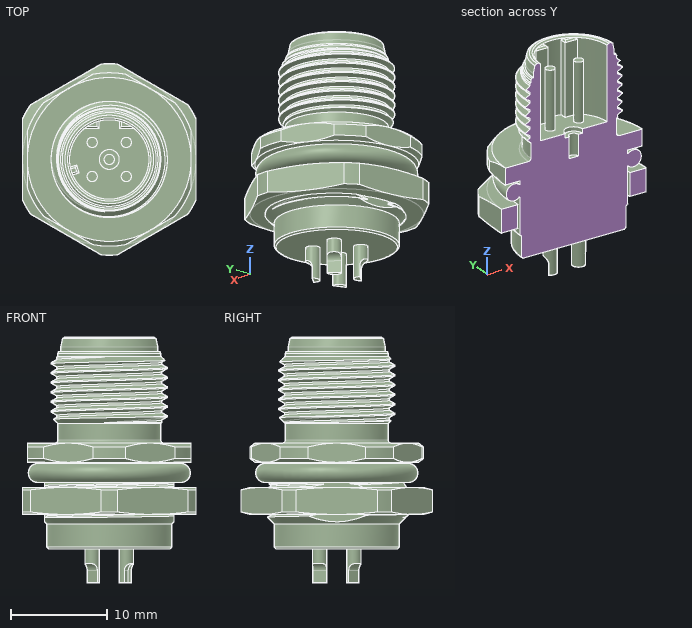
import cadquery as cq
import math

tip_z = 0.0
body_bottom_z = 3.5
rear_thread_bottom_z = 6.1
nut_bottom_z = 7.1
nut_height = 2.8
oring_z = 11.4
flange_bottom_z = 12.5
flange_height = 2.0
front_thread_bottom_z = 16.53
front_thread_top_z = 23.5
shoulder_z = 24.0
spigot_taper_z = 24.47
top_z = 25.5
flange_top_z = flange_bottom_z + flange_height
joint_overlap = 1.0

rear_radius = 6.5
rear_edge_chamfer = 0.2
groove_radius = 6.7
neck_radius = 5.36
neck_fillet = 0.3
spigot_radius = 5.05
spigot_tip_radius = 4.87
spigot_edge_height = 0.17
spigot_edge_inset = 0.27
shoulder_edge_height = 0.2
shoulder_edge_inset = 0.1

pitch = 1.0
crest_width = 0.12
root_overlap = 0.1
core_overrun = 3 * pitch
flank_slope = math.tan(math.radians(30))
front_major_radius = 6.03
front_root_radius = 5.45
front_crest_z = 0.28
rear_major_radius = 7.5
rear_root_radius = 6.87
rear_crest_z = 0.83
rear_flat_offset = 6.73
rear_runout_height = 0.7
rear_lead_slope = math.tan(math.radians(30))
rear_thread_top_z = 10.85

flange_across_flats = 17.0
flange_corner_radius = 9.0
flange_chamfer_height = 0.4
nut_across_flats = 18.0
nut_corner_radius = 9.945
nut_chamfer_height = 0.25
nut_bore_radius = 6.95
oring_section_radius = 1.0
oring_center_radius = 7.42
oring_embed = 0.1

socket_radius = 4.12
socket_chamfer = 0.2
socket_floor_z = 16.5
key_chamfer = 0.2
key_gap = 2.1
key_inner_y = 3.22
coding_key_width = 0.85
coding_key_inner_radius = 3.4
coding_key_angle = 197
wall_overlap = 0.3
pin_circle_radius = 2.5
pin_radius = 0.53
pin_top_z = 23.5
tail_radius = 0.75
cup_height = 2.02
cup_fillet = 0.75
center_hole_depth = 3.0
center_recess_radius = 1.03
center_recess_depth = 0.5
contacts = [(45, 45), (135, 135), (225, 225), (315, 345)]


def cylinder(radius, bottom, top):
    return cq.Workplane("XY").workplane(offset=bottom).circle(radius).extrude(top - bottom)


def revolve_profile(points):
    """Turn a closed (radius, z) outline about the Z axis."""
    return cq.Workplane("XZ").polyline(points).close().revolve(360, (0, 0), (0, 1))


def helical_ridge(root_radius, major_radius, crest_z, bottom, top):
    """V-shaped ridge wound at least from bottom to top; a crest passes +X at crest_z plus whole pitches."""
    inner = root_radius - root_overlap
    half_base = crest_width / 2 + (major_radius - inner) * flank_slope
    start = math.floor(bottom) - pitch + crest_z
    turns = math.ceil((top - start) / pitch) + 1
    path = cq.Wire.makeHelix(pitch, turns * pitch, inner, cq.Vector(0, 0, start))
    profile = cq.Workplane("XZ").polyline([
        (inner, start - half_base),
        (major_radius, start - crest_width / 2),
        (major_radius, start + crest_width / 2),
        (inner, start + half_base),
    ]).close()
    return profile.sweep(cq.Workplane(path), isFrenet=True)


def threaded_section(root_radius, major_radius, crest_z, envelope, bottom, top):
    """Threaded cylinder trimmed to the envelope, which gives the lead-in chamfers."""
    ridge = helical_ridge(root_radius, major_radius, crest_z, bottom, top)
    core = cylinder(root_radius, bottom - core_overrun, top + core_overrun)
    return core.union(ridge).intersect(envelope)


def front_thread():
    lead = front_major_radius - neck_radius
    envelope = revolve_profile([
        (0, front_thread_bottom_z),
        (neck_radius, front_thread_bottom_z),
        (front_major_radius, front_thread_bottom_z + lead),
        (front_major_radius, front_thread_top_z - lead),
        (neck_radius, front_thread_top_z),
        (0, front_thread_top_z),
    ])
    return threaded_section(front_root_radius, front_major_radius, front_crest_z, envelope,
                            front_thread_bottom_z, front_thread_top_z)


def rear_thread():
    bottom_lead = rear_major_radius - rear_radius
    top_lead = (rear_major_radius - groove_radius) / rear_lead_slope
    envelope = revolve_profile([
        (0, rear_thread_bottom_z),
        (rear_radius, rear_thread_bottom_z),
        (rear_major_radius, rear_thread_bottom_z + bottom_lead),
        (rear_major_radius, rear_thread_top_z - top_lead),
        (groove_radius, rear_thread_top_z),
        (0, rear_thread_top_z),
    ])
    thread = threaded_section(rear_root_radius, rear_major_radius, rear_crest_z, envelope,
                              rear_thread_bottom_z, rear_thread_top_z)
    runout = revolve_profile([
        (0, rear_thread_bottom_z),
        (rear_radius, rear_thread_bottom_z),
        (rear_radius + rear_runout_height, rear_thread_bottom_z + rear_runout_height),
        (0, rear_thread_bottom_z + rear_runout_height),
    ])
    thread = thread.union(runout)
    flats = cq.Workplane("XY").box(2 * rear_flat_offset, 4 * rear_major_radius, 4 * top_z)
    return thread.intersect(flats)


def turned_body():
    """Unthreaded body: rear barrel, O-ring groove, neck and tapered spigot."""
    rear = cylinder(rear_radius, body_bottom_z, rear_thread_bottom_z + joint_overlap)
    rear = rear.faces("<Z").chamfer(rear_edge_chamfer)
    groove = cylinder(groove_radius, rear_thread_top_z - joint_overlap, flange_bottom_z + joint_overlap)
    base = flange_top_z - joint_overlap
    arc_inset = neck_fillet * (1 - math.sqrt(0.5))
    front = (
        cq.Workplane("XZ")
        .moveTo(0, base)
        .lineTo(neck_radius + neck_fillet, base)
        .lineTo(neck_radius + neck_fillet, flange_top_z)
        .threePointArc((neck_radius + arc_inset, flange_top_z + arc_inset),
                       (neck_radius, flange_top_z + neck_fillet))
        .lineTo(neck_radius, shoulder_z - shoulder_edge_height)
        .lineTo(neck_radius - shoulder_edge_inset, shoulder_z)
        .lineTo(spigot_radius, shoulder_z)
        .lineTo(spigot_radius, spigot_taper_z)
        .lineTo(spigot_tip_radius, top_z - spigot_edge_height)
        .lineTo(spigot_tip_radius - spigot_edge_inset, top_z)
        .lineTo(0, top_z)
        .close()
        .revolve(360, (0, 0), (0, 1))
    )
    return rear.union(groove).union(front)


def hexagon(across_flats, corner_radius, chamfer_height, bottom, height):
    """Hexagon with flats on +X and -X, its corners turned round and chamfered at both ends."""
    top = bottom + height
    flat_radius = across_flats / 2
    prism = (
        cq.Workplane("XY").workplane(offset=bottom)
        .polygon(6, across_flats, circumscribed=True).extrude(height)
    )
    turned = revolve_profile([
        (0, bottom),
        (flat_radius, bottom),
        (corner_radius, bottom + chamfer_height),
        (corner_radius, top - chamfer_height),
        (flat_radius, top),
        (0, top),
    ])
    return prism.intersect(turned)


def nut():
    blank = hexagon(nut_across_flats, nut_corner_radius, nut_chamfer_height, nut_bottom_z, nut_height)
    return blank.cut(cylinder(nut_bore_radius, nut_bottom_z, nut_bottom_z + nut_height))


def oring():
    """O-ring whose round section is cut short inside the groove wall."""
    inner = groove_radius - oring_embed
    half_height = math.sqrt(oring_section_radius ** 2 - (oring_center_radius - inner) ** 2)
    return (
        cq.Workplane("XZ")
        .moveTo(inner, oring_z - half_height)
        .threePointArc((oring_center_radius + oring_section_radius, oring_z),
                       (inner, oring_z + half_height))
        .close()
        .revolve(360, (0, 0), (0, 1))
    )


def socket():
    """Cavity for the mating plug, chamfered at the mouth."""
    mouth_radius = socket_radius + socket_chamfer
    return revolve_profile([
        (0, socket_floor_z),
        (socket_radius, socket_floor_z),
        (socket_radius, top_z - socket_chamfer),
        (mouth_radius, top_z),
        (0, top_z),
    ])


def key_block(x_min, x_max, y_min, y_max):
    """Rectangular key standing on the socket floor, chamfered around its top."""
    height = top_z - socket_chamfer - socket_floor_z
    block = cq.Workplane("XY").box(x_max - x_min, y_max - y_min, height, centered=False)
    return block.faces(">Z").chamfer(key_chamfer).translate((x_min, y_min, socket_floor_z))


def keys():
    reach = socket_radius + wall_overlap
    right_key = key_block(key_gap / 2, reach, key_inner_y, reach)
    left_key = right_key.mirror("YZ")
    half_width = coding_key_width / 2
    coding_key = key_block(coding_key_inner_radius, reach, -half_width, half_width)
    coding_key = coding_key.rotate((0, 0, 0), (0, 0, 1), coding_key_angle)
    wall_limit = cylinder(reach, socket_floor_z, top_z)
    return right_key.union(left_key).union(coding_key).intersect(wall_limit)


def contact(position_angle, cup_angle):
    """Contact pin with a round tail half cut away at its tip to form a solder cup."""
    pin = cylinder(pin_radius, socket_floor_z - joint_overlap, pin_top_z)
    tail = cylinder(tail_radius, tip_z, body_bottom_z + joint_overlap)
    cup = (
        cq.Workplane("XY")
        .box(2 * tail_radius, 4 * tail_radius, cup_height, centered=(False, True, False))
        .edges("<X and >Z").fillet(cup_fillet)
        .rotate((0, 0, 0), (0, 0, 1), cup_angle)
    )
    angle = math.radians(position_angle)
    x = pin_circle_radius * math.cos(angle)
    y = pin_circle_radius * math.sin(angle)
    return pin.union(tail.cut(cup)).translate((x, y, 0))


def center_hole():
    """Stepped blind hole in the middle of the socket floor."""
    hole = cylinder(pin_radius, socket_floor_z - center_hole_depth, socket_floor_z)
    recess = cylinder(center_recess_radius, socket_floor_z - center_recess_depth, socket_floor_z)
    return hole.union(recess)


flange = hexagon(flange_across_flats, flange_corner_radius, flange_chamfer_height,
                 flange_bottom_z, flange_height)
part = turned_body().union(flange).union(front_thread()).union(rear_thread())
part = part.union(nut()).union(oring())
part = part.cut(socket()).cut(center_hole()).union(keys())
for position_angle, cup_angle in contacts:
    part = part.union(contact(position_angle, cup_angle))
result = part